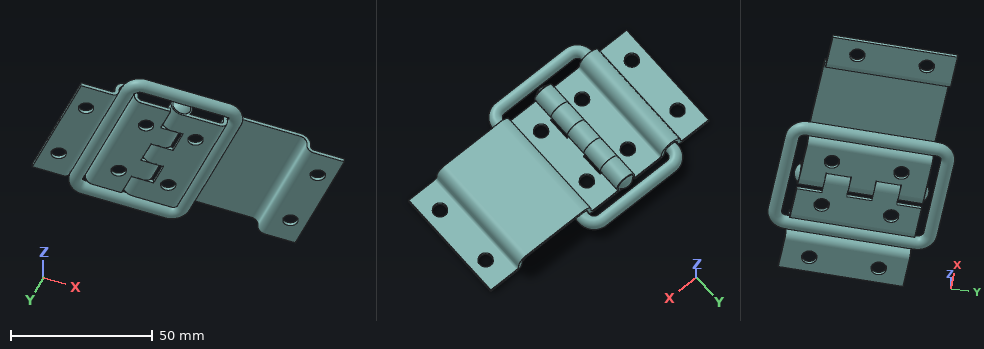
import cadquery as cq


LEAF_WIDTH = 45.0
SHEET = 1.5
MID = SHEET / 2
FOOT_BEND = 1.2 + MID

BARREL_DIAMETER = 8.2
BARREL_RADIUS = BARREL_DIAMETER / 2
BORE_RADIUS = BARREL_RADIUS - SHEET
KNUCKLE_COUNT = 5
KNUCKLE_LENGTH = LEAF_WIDTH / KNUCKLE_COUNT
NOTCH_REACH = 4.2

OVERALL_LENGTH = 101
LEFT_END = -38.6
RIGHT_END = LEFT_END + OVERALL_LENGTH

ARCH_X = -21.1
ARCH_RADIUS = 2.9 + MID
ARCH_CENTER_Z = 3.0

BRIDGE_TOP = 7.8
BRIDGE_BEND = 2.4 + MID
BRIDGE_LEFT = 16.0
BRIDGE_RIGHT = 49.5

HOLE_DIAMETER = 5.4
HOLE_PITCH_Y = 25.0
INNER_HOLE_X = 9.5
END_HOLE_INSET = 6.1

HEAD_RADIUS = 3.4
HEAD_HEIGHT = 1.7

WIRE_DIAMETER = 4.9
WIRE_RADIUS = WIRE_DIAMETER / 2
HANDLE_WIDTH = 61.0
HANDLE_LEFT_X = ARCH_X
HANDLE_RIGHT_X = BRIDGE_LEFT + SHEET + WIRE_RADIUS
HANDLE_CENTER_Z = ARCH_CENTER_Z
HANDLE_BEND = 4.5


def bent_sheet(path):
    """Sheet of the leaf's full width, whose mid-thickness line is an XZ path that starts along X."""
    start = path.val().startPoint()
    return cq.Workplane("YZ", origin=start.toTuple()).rect(LEAF_WIDTH, SHEET).sweep(path)


def left_sheet():
    foot_left = ARCH_X - ARCH_RADIUS - FOOT_BEND
    foot_right = ARCH_X + ARCH_RADIUS + FOOT_BEND
    foot_top = MID + FOOT_BEND
    path = (
        cq.Workplane("XZ")
        .moveTo(LEFT_END, MID)
        .lineTo(foot_left, MID)
        .tangentArcPoint((ARCH_X - ARCH_RADIUS, foot_top), relative=False)
        .lineTo(ARCH_X - ARCH_RADIUS, ARCH_CENTER_Z)
        .tangentArcPoint((ARCH_X + ARCH_RADIUS, ARCH_CENTER_Z), relative=False)
        .lineTo(ARCH_X + ARCH_RADIUS, foot_top)
        .tangentArcPoint((foot_right, MID), relative=False)
        .lineTo(0, MID)
        .wire()
    )
    return bent_sheet(path)


def right_sheet():
    wall_left = BRIDGE_LEFT + MID
    wall_right = BRIDGE_RIGHT - MID
    foot_top = MID + FOOT_BEND
    deck = BRIDGE_TOP - MID
    path = (
        cq.Workplane("XZ")
        .moveTo(0, MID)
        .lineTo(wall_left - FOOT_BEND, MID)
        .tangentArcPoint((wall_left, foot_top), relative=False)
        .lineTo(wall_left, deck - BRIDGE_BEND)
        .tangentArcPoint((wall_left + BRIDGE_BEND, deck), relative=False)
        .lineTo(wall_right - BRIDGE_BEND, deck)
        .tangentArcPoint((wall_right, deck - BRIDGE_BEND), relative=False)
        .lineTo(wall_right, foot_top)
        .tangentArcPoint((wall_right + FOOT_BEND, MID), relative=False)
        .lineTo(RIGHT_END, MID)
        .wire()
    )
    return bent_sheet(path)


def along_pin(radius, y_start, length):
    """Cylinder around the pin axis, running toward +Y from y_start."""
    return (
        cq.Workplane("XZ", origin=(0, y_start, BARREL_RADIUS))
        .circle(radius)
        .extrude(-length)
    )


def add_knuckles(leaf, first):
    """Roll every second knuckle into the leaf, from index `first`, and notch it for the others."""
    for index in range(KNUCKLE_COUNT):
        y_start = -LEAF_WIDTH / 2 + index * KNUCKLE_LENGTH
        if index % 2 == first:
            leaf = leaf.union(along_pin(BARREL_RADIUS, y_start, KNUCKLE_LENGTH))
        else:
            notch = (
                cq.Workplane("XY", origin=(0, y_start + KNUCKLE_LENGTH / 2, MID))
                .box(2 * NOTCH_REACH, KNUCKLE_LENGTH, SHEET)
            )
            leaf = leaf.cut(notch)
    return leaf.cut(along_pin(BORE_RADIUS, -LEAF_WIDTH / 2, LEAF_WIDTH))


def drill_screw_holes(leaf, x_positions):
    """A pair of through holes at each X position."""
    points = [(x, side * HOLE_PITCH_Y / 2) for x in x_positions for side in (-1, 1)]
    drills = cq.Workplane("XY").pushPoints(points).circle(HOLE_DIAMETER / 2).extrude(SHEET)
    return leaf.cut(drills).solids()


def make_left_leaf():
    leaf = add_knuckles(left_sheet(), first=1)
    return drill_screw_holes(leaf, (LEFT_END + END_HOLE_INSET, -INNER_HOLE_X))


def make_right_leaf():
    leaf = add_knuckles(right_sheet(), first=0)
    return drill_screw_holes(leaf, (INNER_HOLE_X, RIGHT_END - END_HOLE_INSET))


def make_pin():
    """Shaft filling the bore, with a spherical-cap head seated on each end of the barrel."""
    end = LEAF_WIDTH / 2
    tip = end + HEAD_HEIGHT
    dome_radius = (HEAD_RADIUS**2 + HEAD_HEIGHT**2) / (2 * HEAD_HEIGHT)
    half_head = HEAD_RADIUS / 2
    rise = (dome_radius**2 - half_head**2) ** 0.5 - dome_radius
    profile = (
        cq.Workplane("XY", origin=(0, 0, BARREL_RADIUS))
        .moveTo(0, -tip)
        .threePointArc((half_head, -tip - rise), (HEAD_RADIUS, -end))
        .lineTo(BORE_RADIUS, -end)
        .lineTo(BORE_RADIUS, end)
        .lineTo(HEAD_RADIUS, end)
        .threePointArc((half_head, tip + rise), (0, tip))
        .close()
    )
    return profile.revolve(360, (0, 0, 0), (0, 1, 0))


def make_handle():
    """Round wire swept around a rounded rectangle."""
    length = HANDLE_RIGHT_X - HANDLE_LEFT_X
    width = HANDLE_WIDTH - WIRE_DIAMETER
    center_x = (HANDLE_LEFT_X + HANDLE_RIGHT_X) / 2
    outline = cq.Workplane("XY", origin=(center_x, 0, HANDLE_CENTER_Z)).rect(length, width).val()
    path = cq.Workplane(outline.fillet2D(HANDLE_BEND, outline.Vertices()))
    return (
        cq.Workplane("XZ", origin=(HANDLE_LEFT_X, 0, HANDLE_CENTER_Z))
        .circle(WIRE_RADIUS)
        .sweep(path)
    )


left_leaf = make_left_leaf()
right_leaf = make_right_leaf()
pin = make_pin()
handle = make_handle()

result = cq.Compound.makeCompound([left_leaf.val(), right_leaf.val(), pin.val(), handle.val()])